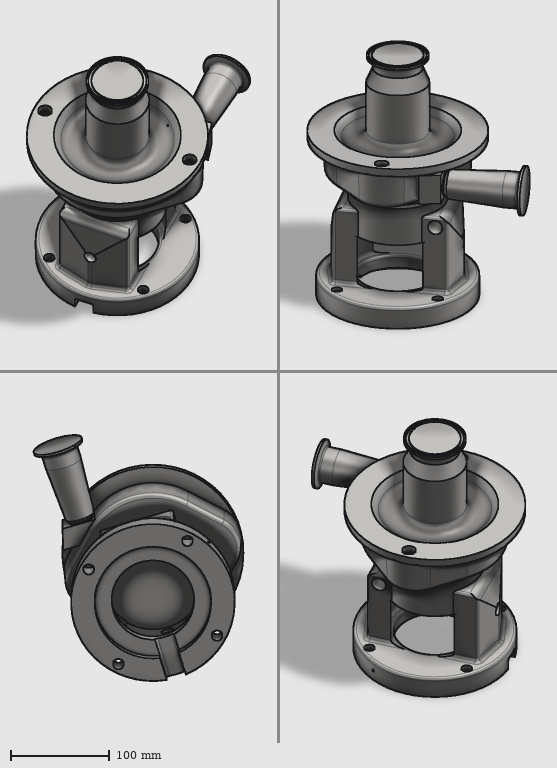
import cadquery as cq
import math

BASE_R = 83.5
BASE_H = 24.0
BASE_EDGE_R = 3.2
BASE_HOLE_R = 5.5
BASE_HOLE_PITCH_R = 74.2
THROUGH_R = 42.0
THROUGH_EDGE_R = 3.0
RECESS_R = 59.5
RECESS_H = 9.5
NOTCH_W = 20.2
NOTCH_H = 13.0
NOTCH_CORNER_R = 2.7
PIN_HOLE_R = 1.0
PIN_HOLE_DEPTH = 5.5
PIN_HOLE_Z = 12.0
PIN_HOLE_ANGLE = 150

LEG_HALF_W = 38.5
LEG_INNER_R = 51.5
LEG_TOP = 108.8
LEG_RIDGE_Y = 68.8
LEG_RIDGE_HALF_W = 2.2
LEG_SLOPE = math.tan(math.radians(15))
LEG_SHOULDER_Z = 69.0
LEG_CORNER_R = 3.0
LEG_SHOULDER_R = 10.8
LEG_TOP_EDGE_R = 3.2
LEG_FOOT_R = 4.5
RIDGE_HOLE_R = 6.5
RIDGE_HOLE_Z = 66.2
RIDGE_SLOT_W = 3.2
CROSS_HOLE_R = 7.5
CROSS_HOLE_Y = 47.0
CROSS_HOLE_Z = 97.2

ADAPTER_R = 50.8
ADAPTER_BOTTOM = 78.8
ADAPTER_TOP = 120.0
NECK_R = 42.0
NECK_FILLET_R = 9.2

CASING_BOTTOM = 139.3
CASING_TOP = 176.0
CASING_R = 75.5
CASING_HALF_X = 93.0
CASING_DRAFT = 1.5
CASING_EDGE_R = 4.5
FLANGE_R = 92.3
FLANGE_TOP = 184.7
SCREW_X = 80.7
SCREW_R = 6.0
SCREW_CLEAR_R = 7.0
SCREW_DEPTH = 27.0
SCREW_TIP = 3.5

BOWL_RIM_R = 64.8
BOWL_R = 57.8
BOWL_EDGE_Z = 178.2
BOWL_LOW_R = 47.0
BOWL_LOW_Z = 173.0

TOTAL_H = 270.0
INLET_R = 32.5
INLET_SHOULDER_Z = 239.2
INLET_NECK_R = 25.6
INLET_NECK_Z = 255.5
INLET_CLAMP_R = 31.72
CLAMP_RIM = 2.7
CLAMP_ROOT_R = 1.5
CLAMP_SLOPE = math.tan(math.radians(20))
GROOVE_OUTER_R = 29.7
GROOVE_INNER_R = 26.5
GROOVE_DEPTH = 1.4

OUTLET_X = 58.0
OUTLET_Z = 157.1
OUTLET_END_Y = 144.2
OUTLET_R = 19.0
OUTLET_CLAMP_R = 25.6
OUTLET_TAPER_Y = 124.5
OUTLET_TIP_R = 15.0
OUTLET_TIP_Y = 65.5
BOSS_Y = 61.0
BOSS_HALF_W = 20.0
BOSS_SIDE_X = 83.7
BOSS_SIDE_Y = 39.2
OUTLET_JOINT_R = OUTLET_TIP_R - 2.7
OUTLET_JOINT_Y = OUTLET_TIP_Y - 3.2


def cylinder(radius, bottom, top):
    return cq.Workplane("XY").workplane(offset=bottom).circle(radius).extrude(top - bottom)


def box_selector(centre, reach):
    """Selects the edges whose centre lies within the given reach of a point."""
    low = tuple(c - r for c, r in zip(centre, reach))
    high = tuple(c + r for c, r in zip(centre, reach))
    return cq.selectors.BoxSelector(low, high)


def make_leg():
    """Leg on the +Y side: V-shaped outer face with a leaning triangular shoulder."""
    corner_y = LEG_RIDGE_Y - LEG_SLOPE * (LEG_HALF_W - LEG_RIDGE_HALF_W)
    top_y = LEG_RIDGE_Y - LEG_SLOPE * (LEG_TOP - LEG_SHOULDER_Z)
    plan = (
        cq.Workplane("XY")
        .moveTo(-LEG_HALF_W, 0)
        .lineTo(LEG_HALF_W, 0)
        .lineTo(LEG_HALF_W, corner_y)
        .lineTo(LEG_RIDGE_HALF_W, LEG_RIDGE_Y)
        .lineTo(-LEG_RIDGE_HALF_W, LEG_RIDGE_Y)
        .lineTo(-LEG_HALF_W, corner_y)
        .close()
        .extrude(LEG_TOP)
    )
    for corner_x in (-LEG_HALF_W, LEG_HALF_W):
        corner = box_selector((corner_x, corner_y, LEG_TOP / 2), (0.3, 0.3, 0.3))
        plan = plan.edges(corner).fillet(LEG_CORNER_R)
    side = (
        cq.Workplane("YZ")
        .moveTo(0, 0)
        .lineTo(LEG_RIDGE_Y, 0)
        .lineTo(LEG_RIDGE_Y, LEG_SHOULDER_Z)
        .lineTo(top_y, LEG_TOP)
        .lineTo(0, LEG_TOP)
        .close()
        .extrude(LEG_HALF_W, both=True)
    )
    side = side.edges(box_selector((0, top_y, LEG_TOP), (0.3, 0.3, 0.3))).fillet(LEG_SHOULDER_R)
    front = (
        cq.Workplane("XZ")
        .rect(2 * LEG_HALF_W, 2 * LEG_TOP)
        .extrude(-LEG_RIDGE_Y)
        .edges("|Y")
        .fillet(LEG_TOP_EDGE_R)
    )
    return plan.intersect(side).intersect(front)


def make_frame():
    """Base ring with both legs, hollowed out below the adapter."""
    base = cylinder(BASE_R, 0, BASE_H).faces(">Z").edges().fillet(BASE_EDGE_R)
    leg = make_leg()
    legs = leg.union(leg.rotate((0, 0, 0), (0, 0, 1), 180))
    frame = base.union(legs.cut(cylinder(LEG_INNER_R, 0, ADAPTER_BOTTOM)))
    foot = box_selector((0, 0, BASE_H), (LEG_HALF_W + 0.3, LEG_RIDGE_Y + 0.3, 0.3))
    frame = frame.edges(foot).fillet(LEG_FOOT_R)

    frame = frame.cut(cylinder(THROUGH_R, 0, BASE_H))
    mouth = box_selector((0, 0, BASE_H), (0.3, 0.3, 0.3))
    frame = frame.edges(mouth).fillet(THROUGH_EDGE_R)
    frame = frame.cut(cylinder(RECESS_R, 0, RECESS_H))

    bolt_holes = (
        cq.Workplane("XY")
        .polarArray(BASE_HOLE_PITCH_R, 45, 360, 4)
        .circle(BASE_HOLE_R)
        .extrude(BASE_H)
    )
    notch = (
        cq.Workplane("XZ")
        .rect(NOTCH_W, 2 * NOTCH_H)
        .extrude(BASE_R)
        .edges("|Y")
        .fillet(NOTCH_CORNER_R)
    )
    pin_hole = (
        cq.Workplane("YZ", origin=(0, 0, PIN_HOLE_Z))
        .workplane(offset=BASE_R - PIN_HOLE_DEPTH)
        .circle(PIN_HOLE_R)
        .extrude(PIN_HOLE_DEPTH)
        .rotate((0, 0, 0), (0, 0, 1), PIN_HOLE_ANGLE)
    )
    return frame.cut(bolt_holes).cut(notch).cut(pin_hole)


def make_casing():
    """Round casing widened by a lobe under each screw, joined by tangent flats at 45 degrees."""
    root2 = math.sqrt(2)
    lobe_r = (CASING_R * root2 - CASING_HALF_X) / (root2 - 1)
    lobe_x = CASING_HALF_X - lobe_r
    round_45 = CASING_R / root2
    lobe_45 = lobe_r / root2
    casing = (
        cq.Workplane("XY", origin=(0, 0, CASING_TOP))
        .moveTo(round_45, round_45)
        .threePointArc((0, CASING_R), (-round_45, round_45))
        .lineTo(-lobe_x - lobe_45, lobe_45)
        .threePointArc((-CASING_HALF_X, 0), (-lobe_x - lobe_45, -lobe_45))
        .lineTo(-round_45, -round_45)
        .threePointArc((0, -CASING_R), (round_45, -round_45))
        .lineTo(lobe_x + lobe_45, -lobe_45)
        .threePointArc((CASING_HALF_X, 0), (lobe_x + lobe_45, lobe_45))
        .close()
        .extrude(CASING_BOTTOM - CASING_TOP, taper=CASING_DRAFT)
    )
    return casing.faces("<Z").edges().fillet(CASING_EDGE_R)


def make_neck():
    """Adapter cylinder and the neck that flares into the casing floor."""
    flare_r = NECK_R + NECK_FILLET_R
    flare_45 = NECK_FILLET_R / math.sqrt(2)
    flare_mid = (flare_r - flare_45, CASING_BOTTOM - NECK_FILLET_R + flare_45)
    return (
        cq.Workplane("XZ")
        .moveTo(0, ADAPTER_BOTTOM)
        .lineTo(ADAPTER_R, ADAPTER_BOTTOM)
        .lineTo(ADAPTER_R, ADAPTER_TOP)
        .lineTo(NECK_R, ADAPTER_TOP)
        .lineTo(NECK_R, CASING_BOTTOM - NECK_FILLET_R)
        .threePointArc(flare_mid, (flare_r, CASING_BOTTOM))
        .lineTo(flare_r, CASING_TOP)
        .lineTo(0, CASING_TOP)
        .close()
        .revolve(360, (0, 0, 0), (0, 1, 0))
    )


def make_inlet():
    """Inlet pipe with a shoulder, a thin clamp rim and a seal groove in its end face."""
    clamp_z = TOTAL_H - CLAMP_RIM
    clamp_root_z = clamp_z - CLAMP_SLOPE * (INLET_CLAMP_R - INLET_NECK_R)
    groove = cylinder(GROOVE_OUTER_R, TOTAL_H - GROOVE_DEPTH, TOTAL_H)
    groove = groove.cut(cylinder(GROOVE_INNER_R, TOTAL_H - GROOVE_DEPTH, TOTAL_H))
    pipe = (
        cq.Workplane("XZ")
        .moveTo(0, CASING_TOP)
        .lineTo(INLET_R, CASING_TOP)
        .lineTo(INLET_R, INLET_SHOULDER_Z)
        .lineTo(INLET_NECK_R, INLET_NECK_Z)
        .lineTo(INLET_NECK_R, clamp_root_z)
        .lineTo(INLET_CLAMP_R, clamp_z)
        .lineTo(INLET_CLAMP_R, TOTAL_H)
        .lineTo(0, TOTAL_H)
        .close()
        .revolve(360, (0, 0, 0), (0, 1, 0))
    )
    root = box_selector((0, 0, clamp_root_z), (0.3, 0.3, 0.3))
    return pipe.edges(root).fillet(CLAMP_ROOT_R).cut(groove)


def make_bowl():
    """Ring-shaped hollow sunk into the flange around the inlet."""
    return (
        cq.Workplane("XZ")
        .moveTo(INLET_R, FLANGE_TOP)
        .lineTo(BOWL_RIM_R, FLANGE_TOP)
        .lineTo(BOWL_R, BOWL_EDGE_Z)
        .threePointArc((BOWL_LOW_R, BOWL_LOW_Z), (INLET_R, FLANGE_TOP))
        .close()
        .revolve(360, (0, 0, 0), (0, 1, 0))
    )


def make_outlet():
    """Tapered outlet pipe along +Y and the block that carries it."""
    clamp_y = OUTLET_END_Y - CLAMP_RIM
    clamp_root_y = clamp_y - CLAMP_SLOPE * (OUTLET_CLAMP_R - OUTLET_R)
    root = box_selector((0, clamp_root_y, 0), (0.3, 0.3, 0.3))
    pipe = (
        cq.Workplane("XY")
        .moveTo(0, BOSS_Y)
        .lineTo(OUTLET_JOINT_R, BOSS_Y)
        .lineTo(OUTLET_JOINT_R, OUTLET_JOINT_Y)
        .lineTo(OUTLET_TIP_R, OUTLET_TIP_Y)
        .lineTo(OUTLET_R, OUTLET_TAPER_Y)
        .lineTo(OUTLET_R, clamp_root_y)
        .lineTo(OUTLET_CLAMP_R, clamp_y)
        .lineTo(OUTLET_CLAMP_R, OUTLET_END_Y)
        .lineTo(0, OUTLET_END_Y)
        .close()
        .revolve(360, (0, 0, 0), (0, 1, 0))
        .edges(root)
        .fillet(CLAMP_ROOT_R)
        .translate((OUTLET_X, 0, OUTLET_Z))
    )
    block = (
        cq.Workplane("XY", origin=(0, 0, CASING_BOTTOM + CASING_EDGE_R))
        .moveTo(OUTLET_X - BOSS_HALF_W, BOSS_Y)
        .lineTo(OUTLET_X + BOSS_HALF_W, BOSS_Y)
        .lineTo(BOSS_SIDE_X, BOSS_SIDE_Y)
        .lineTo(OUTLET_X - BOSS_HALF_W, BOSS_SIDE_Y)
        .close()
        .extrude(CASING_TOP - CASING_BOTTOM - CASING_EDGE_R)
    )
    return pipe.union(block)


def make_screw_hole():
    """Stepped blind hole: clearance through the flange, then a narrower drilled end with a cone."""
    return (
        cq.Workplane("XZ")
        .moveTo(0, FLANGE_TOP)
        .lineTo(SCREW_CLEAR_R, FLANGE_TOP)
        .lineTo(SCREW_CLEAR_R, CASING_TOP)
        .lineTo(SCREW_R, CASING_TOP)
        .lineTo(SCREW_R, FLANGE_TOP - SCREW_DEPTH)
        .lineTo(0, FLANGE_TOP - SCREW_DEPTH - SCREW_TIP)
        .close()
        .revolve(360, (0, 0, 0), (0, 1, 0))
    )


result = make_frame().union(make_neck()).union(make_casing())
result = result.union(cylinder(FLANGE_R, CASING_TOP, FLANGE_TOP))
result = result.union(make_inlet()).cut(make_bowl()).union(make_outlet())

for screw_x in (-SCREW_X, SCREW_X):
    result = result.cut(make_screw_hole().translate((screw_x, 0, 0)))

ridge_hole = (
    cq.Workplane("XZ", origin=(0, 0, RIDGE_HOLE_Z))
    .circle(RIDGE_HOLE_R)
    .extrude(LEG_RIDGE_Y)
)
ridge_slot = (
    cq.Workplane("XZ", origin=(0, 0, RIDGE_HOLE_Z))
    .rect(RIDGE_SLOT_W, 2 * RIDGE_HOLE_R)
    .extrude(-LEG_RIDGE_Y)
)
result = result.cut(ridge_hole).cut(ridge_slot)

cross_hole = (
    cq.Workplane("YZ", origin=(0, CROSS_HOLE_Y, CROSS_HOLE_Z))
    .circle(CROSS_HOLE_R)
    .extrude(LEG_HALF_W, both=True)
)
result = result.cut(cross_hole)